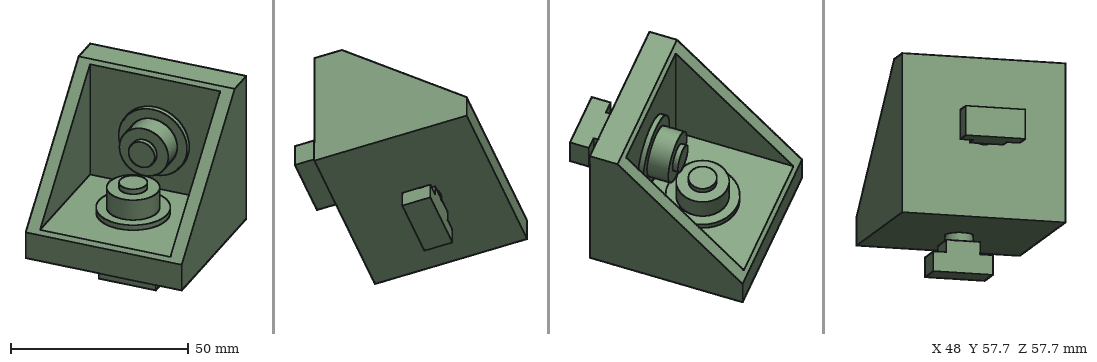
import cadquery as cq

bracket_width = 48.0
leg_length = 46.0
leg_tip = 8.3
plate_thickness = 9.4
side_wall = 4.0

bolt_offset = 25.0
bolt_diameter = 8.0
bolt_stub = 1.6
washer_diameter = 21.0
washer_thickness = 1.6
nut_diameter = 15.0
nut_height = 6.4

head_protrusion = 57.7 - leg_length
head_depth = 8.5
neck_width = 9.9
neck_height = 3.6
head_width = 17.55
head_height = 5.7


def triangular_prism(profile, width):
    """Extrude a (Y, Z) profile symmetrically along X."""
    return cq.Workplane("YZ").polyline(profile).close().extrude(width / 2, both=True)


def make_bracket():
    body = triangular_prism(
        [
            (0, 0),
            (-leg_length, 0),
            (-leg_length, leg_tip),
            (-leg_tip, leg_length),
            (0, leg_length),
        ],
        bracket_width,
    )
    pocket_reach = leg_length + leg_tip - plate_thickness
    pocket = triangular_prism(
        [
            (-plate_thickness, plate_thickness),
            (-pocket_reach, plate_thickness),
            (-plate_thickness, pocket_reach),
        ],
        bracket_width - 2 * side_wall,
    )
    return body.cut(pocket)


def cylinder(diameter, bottom, top):
    return cq.Workplane("XY").workplane(offset=bottom).circle(diameter / 2).extrude(top - bottom)


def block(width, bottom, height):
    return cq.Workplane("XY").workplane(offset=bottom).rect(width, head_depth).extrude(height)


def make_fastener():
    """Fastener along Z, with the outer face of its plate at Z = 0."""
    washer_top = plate_thickness + washer_thickness
    nut_top = washer_top + nut_height
    head_bottom = -head_protrusion
    neck_bottom = head_bottom + head_height
    bolt = cylinder(bolt_diameter, neck_bottom, nut_top + bolt_stub)
    washer = cylinder(washer_diameter, plate_thickness, washer_top)
    nut = cylinder(nut_diameter, washer_top, nut_top)
    neck = block(neck_width, neck_bottom, neck_height)
    head = block(head_width, head_bottom, head_height)
    return bolt.union(washer).union(nut).union(neck).union(head)


fastener = make_fastener()
floor_fastener = fastener.translate((0, -bolt_offset, 0))
back_fastener = fastener.rotate((0, 0, 0), (1, 0, 0), 90).translate((0, 0, bolt_offset))

result = make_bracket().union(floor_fastener).union(back_fastener)